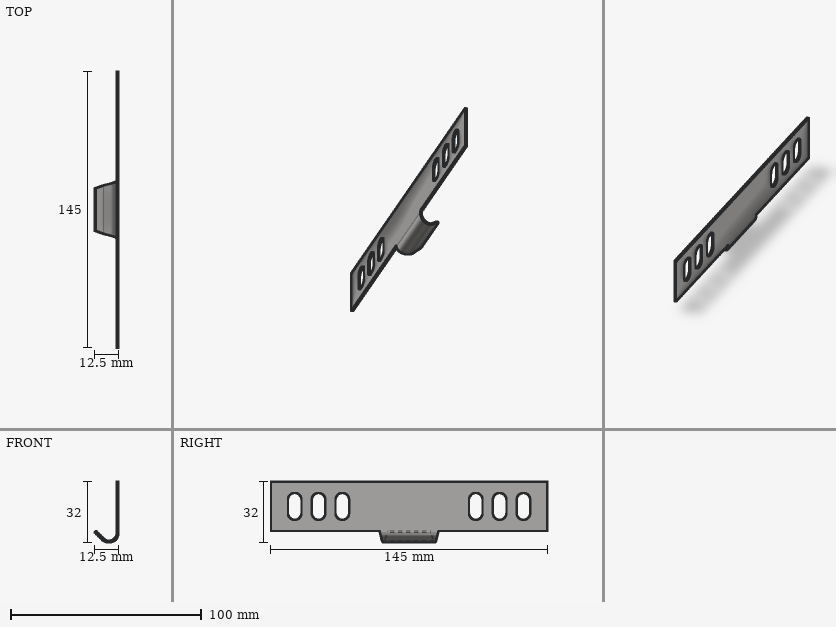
import cadquery as cq
import math

SHEET = 1.0
STRIP_LENGTH = 145.0
STRIP_HEIGHT = 26.0
TOTAL_HEIGHT = 32.0
TOTAL_DEPTH = 12.5

SLOT_WIDTH = 7.0
SLOT_HEIGHT = 14.0
SLOT_PITCH = 12.5
SLOTS_PER_SIDE = 3

BEND_RADIUS_OUTER = 5.0
BEND_ANGLE = 135.0
TAB_ROOT_WIDTH = 31.0
TAB_TIP_WIDTH = 22.3

bend_radius_inner = BEND_RADIUS_OUTER - SHEET
bend_axis_x = -BEND_RADIUS_OUTER
bend_axis_z = BEND_RADIUS_OUTER - TOTAL_HEIGHT
bend_length = math.radians(BEND_ANGLE) * (BEND_RADIUS_OUTER - SHEET / 2)

lip_slope = math.radians(180 - BEND_ANGLE)
lip_depth = TOTAL_DEPTH - BEND_RADIUS_OUTER * (1 + math.sin(lip_slope))
lip_length = lip_depth / math.cos(lip_slope)

neck_length = -bend_axis_z - STRIP_HEIGHT
taper = (TAB_ROOT_WIDTH - TAB_TIP_WIDTH) / 2 / (neck_length + bend_length + lip_length)
bend_start_width = TAB_ROOT_WIDTH - 2 * taper * neck_length
bend_end_width = bend_start_width - 2 * taper * bend_length


def make_strip():
    strip = cq.Workplane("XY").box(SHEET, STRIP_LENGTH, STRIP_HEIGHT)
    return strip.translate((-SHEET / 2, 0, -STRIP_HEIGHT / 2))


def make_slots():
    centres = []
    for side in (-1, 1):
        for index in range(SLOTS_PER_SIDE):
            distance_from_end = SLOT_PITCH * (index + 1)
            centres.append((side * (STRIP_LENGTH / 2 - distance_from_end), -STRIP_HEIGHT / 2))
    slots = cq.Workplane("YZ").pushPoints(centres).slot2D(SLOT_HEIGHT, SLOT_WIDTH, 90)
    return slots.extrude(SHEET, both=True)


def tapered_plate(start_width, end_width, length):
    """Plate hanging from Z = 0 with its outer face on X = 0."""
    outline = [
        (-start_width / 2, 0),
        (start_width / 2, 0),
        (end_width / 2, -length),
        (-end_width / 2, -length),
    ]
    return cq.Workplane("YZ").polyline(outline).close().extrude(-SHEET)


def make_neck():
    neck = tapered_plate(TAB_ROOT_WIDTH, bend_start_width, neck_length)
    return neck.translate((0, 0, -STRIP_HEIGHT))


def make_lip():
    lip = tapered_plate(bend_end_width, TAB_TIP_WIDTH, lip_length)
    lip = lip.translate((0, 0, bend_axis_z))
    return turn_about_bend(lip, BEND_ANGLE)


def turn_about_bend(body, angle):
    axis_start = (bend_axis_x, 0, bend_axis_z)
    axis_end = (bend_axis_x, 1, bend_axis_z)
    return body.rotate(axis_start, axis_end, angle)


def make_bend_trimmer():
    """Twisted half ring whose leading face is the +Y side wall of the bend."""
    clearance = SHEET
    radius_in = bend_radius_inner - clearance
    radius_out = BEND_RADIUS_OUTER + clearance
    half_ring = (
        cq.Workplane("XY")
        .moveTo(radius_in, 0)
        .lineTo(radius_out, 0)
        .threePointArc((0, -radius_out), (-radius_out, 0))
        .lineTo(-radius_in, 0)
        .threePointArc((0, -radius_in), (radius_in, 0))
        .close()
    )
    trimmer = half_ring.twistExtrude((bend_start_width - bend_end_width) / 2, -BEND_ANGLE)
    trimmer = trimmer.rotate((0, 0, 0), (1, 0, 0), 90)
    return trimmer.translate((bend_axis_x, bend_start_width / 2, bend_axis_z))


def make_bend():
    section = cq.Workplane("XY").rect(SHEET, bend_start_width)
    section = section.revolve(
        BEND_ANGLE,
        (bend_axis_x + SHEET / 2, 0),
        (bend_axis_x + SHEET / 2, 1),
    )
    bend = section.translate((-SHEET / 2, 0, bend_axis_z))
    trimmer = make_bend_trimmer()
    return bend.cut(trimmer).cut(trimmer.mirror("XZ"))


strip = make_strip().cut(make_slots())
result = strip.union(make_neck()).union(make_bend()).union(make_lip())